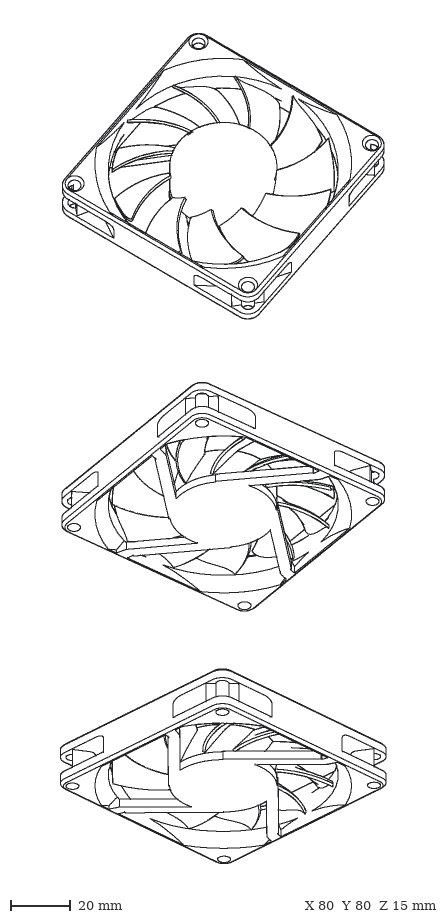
import cadquery as cq
import math

FRAME_SIZE = 80.0
FRAME_HEIGHT = 15.0
CORNER_RADIUS = 4.6
EDGE_CHAMFER = 1.0

DUCT_RADIUS = 38.6
FLARE_RADIUS = 43.0
FLARE_HEIGHT = 4.0
OPENING_HALF_WIDTH = 38.4

HOLE_INSET = 4.2
HOLE_RADIUS = 2.2
COUNTERSINK_RADIUS = 3.2
COUNTERSINK_ANGLE = 90.0
FLANGE_THICKNESS = 4.0
POCKET_WALL_RADIUS = 42.6
POCKET_ARC_HALF_ANGLE = 12.6
POCKET_FLAT_LENGTH = 11.2
POCKET_FILLET = 2.0
WEB_FACE_WIDTH = 11.0
WEB_FLANK_ANGLE = 15.0
WEB_DEPTH = 11.2

BASE_RADIUS = 18.0
BASE_HEIGHT = 3.0
STRUT_INNER_OFFSET = 14.4
STRUT_OUTER_OFFSET = 18.4
FOOT_RADIUS = 37.8
STRUT_DIRECTION = -45.0

HUB_RADIUS = 18.0
HUB_TOP = 14.0
HUB_FILLET = 1.0
BLADE_COUNT = 11
BLADE_TIP_RADIUS = 37.3
BLADE_BOTTOM = 3.6
BLADE_TOP = 12.8
BLADE_THICKNESS = 1.0
BLADE_LIP_WIDTH = 1.6
BLADE_LIP_HEIGHT = 1.9
BLADE_HALF_SPAN = 12.0
BLADE_ROOT_ANGLE = 19.8
BLADE_SWEEP = 1.162
BLADE_SECTIONS = 5
BLADE_OVERRUN = 2.0


def make_shell():
    """Square block with rounded corners and chamfered rims."""
    block = cq.Workplane("XY").rect(FRAME_SIZE, FRAME_SIZE).extrude(FRAME_HEIGHT)
    return block.edges("|Z").fillet(CORNER_RADIUS).faces("<Z or >Z").edges().chamfer(EDGE_CHAMFER)


def make_duct():
    """Round duct with a conical mouth at each end, clipped to a square opening."""
    profile = [
        (0, 0),
        (FLARE_RADIUS, 0),
        (DUCT_RADIUS, FLARE_HEIGHT),
        (DUCT_RADIUS, FRAME_HEIGHT - FLARE_HEIGHT),
        (FLARE_RADIUS, FRAME_HEIGHT),
        (0, FRAME_HEIGHT),
    ]
    round_duct = cq.Workplane("XZ").polyline(profile).close().revolve(360, (0, 0), (0, 1))
    opening_width = 2 * OPENING_HALF_WIDTH
    opening = cq.Workplane("XY").rect(opening_width, opening_width).extrude(FRAME_HEIGHT)
    return round_duct.intersect(opening)


def make_corner_pocket():
    """Space between the flanges on the +X axis: duct wall on one side, less the web of the screw hole."""
    bottom = FLANGE_THICKNESS
    height = FRAME_HEIGHT - 2 * FLANGE_THICKNESS
    angle = math.radians(POCKET_ARC_HALF_ANGLE)
    arc_u = POCKET_WALL_RADIUS * math.cos(angle)
    arc_v = POCKET_WALL_RADIUS * math.sin(angle)
    flat_u = arc_u - POCKET_FLAT_LENGTH * math.sin(angle)
    flat_v = arc_v + POCKET_FLAT_LENGTH * math.cos(angle)
    space = (
        cq.Workplane("XY", origin=(0, 0, bottom))
        .moveTo(FRAME_SIZE, -flat_v)
        .lineTo(flat_u, -flat_v)
        .lineTo(arc_u, -arc_v)
        .threePointArc((POCKET_WALL_RADIUS, 0), (arc_u, arc_v))
        .lineTo(flat_u, flat_v)
        .lineTo(FRAME_SIZE, flat_v)
        .close()
        .extrude(height)
    )
    wall_edges = cq.selectors.BoxSelector(
        (0, -flat_v + 0.8, bottom + height - 0.8), (FRAME_SIZE * 0.9, flat_v - 0.8, bottom + height + 0.8)
    )
    space = space.edges(wall_edges).fillet(POCKET_FILLET)

    face_distance = math.sqrt(2) * (FRAME_SIZE / 2 - HOLE_INSET)
    back_distance = face_distance - WEB_DEPTH
    face_half = WEB_FACE_WIDTH / 2
    back_half = face_half - WEB_DEPTH * math.tan(math.radians(WEB_FLANK_ANGLE))
    web_outline = [
        (face_distance, -face_half),
        (face_distance, face_half),
        (back_distance, back_half),
        (back_distance, -back_half),
    ]
    web = cq.Workplane("XY").polyline(web_outline).close().extrude(FRAME_HEIGHT)
    return space.cut(web)


def make_strut():
    """Strut along +X beside the fan axis, with a radial foot that fills the flare of the duct."""
    bar = (
        cq.Workplane("XY", origin=(0, -STRUT_OUTER_OFFSET, 0))
        .rect(FRAME_SIZE / 2, STRUT_OUTER_OFFSET - STRUT_INNER_OFFSET, centered=False)
        .extrude(BASE_HEIGHT)
    )
    foot_limit = cq.Workplane("XY").circle(FOOT_RADIUS).extrude(BASE_HEIGHT)

    start_angle = math.degrees(math.asin(STRUT_OUTER_OFFSET / DUCT_RADIUS))
    end_angle = math.degrees(math.asin(STRUT_INNER_OFFSET / FOOT_RADIUS))
    foot_profile = [
        (FOOT_RADIUS, 0),
        (FLARE_RADIUS, 0),
        (DUCT_RADIUS, FLARE_HEIGHT),
        (FOOT_RADIUS, BASE_HEIGHT),
    ]
    foot = cq.Workplane("XZ").polyline(foot_profile).close()
    foot = foot.revolve(start_angle - end_angle, (0, 0), (0, 1))
    return bar.intersect(foot_limit).union(foot.rotate((0, 0, 0), (0, 0, 1), -start_angle))


def make_base_and_struts():
    """Motor base disc with four struts that reach the duct wall."""
    base = cq.Workplane("XY").circle(BASE_RADIUS).extrude(BASE_HEIGHT)
    strut = make_strut()
    for quarter in range(4):
        base = base.union(strut.rotate((0, 0, 0), (0, 0, 1), STRUT_DIRECTION + 90.0 * quarter))
    return base.intersect(make_duct())


def make_frame():
    """Housing with its duct, corner pockets, screw holes, struts and motor base."""
    frame = make_shell().cut(make_duct())
    pocket = make_corner_pocket()
    for quarter in range(4):
        frame = frame.cut(pocket.rotate((0, 0, 0), (0, 0, 1), 45.0 + 90.0 * quarter))
    frame = frame.union(make_base_and_struts())
    hole_spacing = FRAME_SIZE - 2 * HOLE_INSET
    return (
        frame.faces(">Z")
        .workplane(origin=(0, 0, FRAME_HEIGHT))
        .rect(hole_spacing, hole_spacing, forConstruction=True)
        .vertices()
        .cskHole(2 * HOLE_RADIUS, 2 * COUNTERSINK_RADIUS, COUNTERSINK_ANGLE)
    )


def blade_section(edge_radius):
    """S-shaped blade section whose ends lie at edge_radius from the fan axis."""
    angle = math.radians(BLADE_ROOT_ANGLE + BLADE_SWEEP * (edge_radius - HUB_RADIUS))
    half_span = math.radians(BLADE_HALF_SPAN)
    outward = cq.Vector(math.cos(angle), math.sin(angle), 0)
    around = cq.Vector(-math.sin(angle), math.cos(angle), 0)
    plane = cq.Plane(origin=outward * (edge_radius * math.cos(half_span)), xDir=around, normal=outward)

    half_width = edge_radius * math.sin(half_span)
    middle_line = [
        (-half_width, BLADE_BOTTOM),
        (-half_width + BLADE_LIP_WIDTH, BLADE_BOTTOM + BLADE_LIP_HEIGHT),
        (half_width - BLADE_LIP_WIDTH, BLADE_TOP - BLADE_LIP_HEIGHT),
        (half_width, BLADE_TOP),
    ]
    slope = math.atan2(BLADE_TOP - BLADE_BOTTOM, 2 * half_width)
    shift_x = BLADE_THICKNESS / 2 * math.sin(slope)
    shift_z = BLADE_THICKNESS / 2 * math.cos(slope)
    upper = [(x - shift_x, z + shift_z) for x, z in middle_line]
    lower = [(x + shift_x, z - shift_z) for x, z in reversed(middle_line)]
    section = cq.Workplane(plane).moveTo(*upper[0]).spline(upper[1:], includeCurrent=True)
    section = section.lineTo(*lower[0]).spline(lower[1:], includeCurrent=True).close()
    return section.val()


def make_blade():
    """Swept and twisted blade, from inside the hub to beyond the tip circle."""
    start = HUB_RADIUS - BLADE_OVERRUN
    step = (BLADE_TIP_RADIUS + BLADE_OVERRUN - start) / (BLADE_SECTIONS - 1)
    sections = [blade_section(start + step * index) for index in range(BLADE_SECTIONS)]
    loft = cq.Workplane(cq.Solid.makeLoft(sections))
    tip_cylinder = cq.Workplane("XY").circle(BLADE_TIP_RADIUS).extrude(FRAME_HEIGHT)
    return loft.intersect(tip_cylinder)


def make_rotor():
    """Hub that rests on the motor base, with its ring of blades."""
    rotor = cq.Workplane("XY").circle(HUB_RADIUS).extrude(HUB_TOP - BASE_HEIGHT)
    rotor = rotor.faces(">Z").edges().fillet(HUB_FILLET).translate((0, 0, BASE_HEIGHT))
    blade = make_blade()
    for index in range(BLADE_COUNT):
        rotor = rotor.union(blade.rotate((0, 0, 0), (0, 0, 1), index * 360.0 / BLADE_COUNT))
    return rotor


frame = make_frame()
rotor = make_rotor()
result = cq.Compound.makeCompound([*frame.solids().vals(), *rotor.solids().vals()])